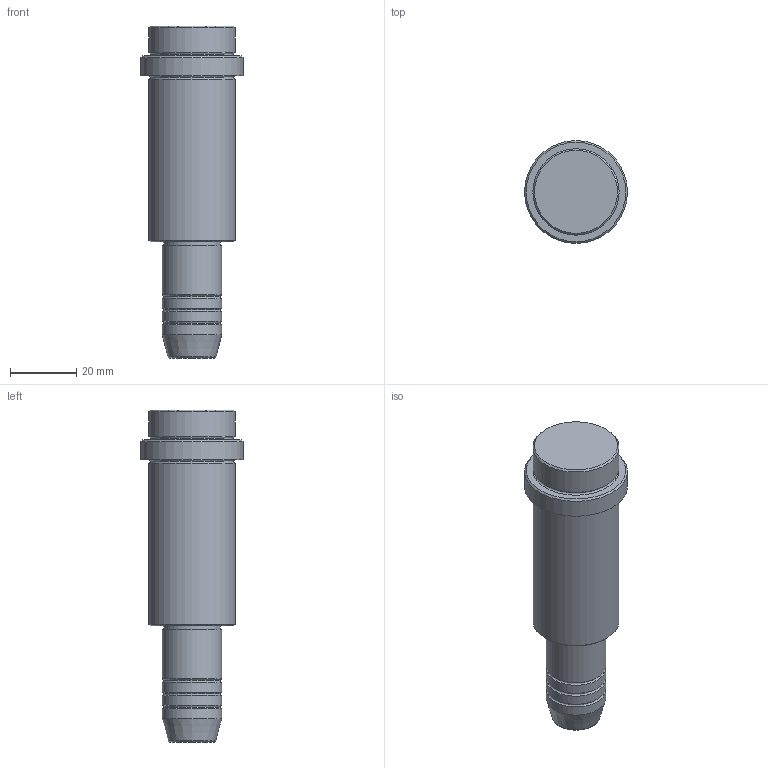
import cadquery as cq
import math


flange_radius = 15.5
body_radius = 13.0
pin_radius = 9.0

total_length = 100.0
head_length = 8.0
flange_thickness = 6.0
body_length = 50.0
taper_length = 7.0
taper_angle = 15.0

groove_radius = 0.5
groove_width = 2 * groove_radius
pin_groove_count = 3
pin_groove_pitch = 4.0
first_pin_groove_z = 10.5

relief_depth = 0.5
relief_width = 1.0

head_chamfer = 0.5
flange_chamfer = 0.5
body_chamfer = 0.5
tip_fillet = 0.5

head_bottom_z = total_length - head_length
flange_top_z = head_bottom_z - groove_width
flange_bottom_z = flange_top_z - flange_thickness
body_bottom_z = flange_bottom_z - body_length
relief_bottom_z = body_bottom_z - relief_width
tip_radius = pin_radius - taper_length * math.tan(math.radians(taper_angle))


def make_cylinder(radius, bottom_z, top_z):
    return cq.Workplane("XY").workplane(offset=bottom_z).circle(radius).extrude(top_z - bottom_z)


def make_pin():
    """Straight pin with a conical lead-in and a rounded tip edge."""
    lead_in = cq.Workplane("XY").circle(tip_radius).workplane(offset=taper_length).circle(pin_radius)
    lead_in = lead_in.loft(ruled=True).faces("<Z").fillet(tip_fillet)
    return lead_in.union(make_cylinder(pin_radius, taper_length, body_bottom_z))


def make_body():
    """Main shank, running up to the top of the head."""
    body = make_cylinder(body_radius, body_bottom_z, total_length)
    body = body.faces(">Z").chamfer(head_chamfer)
    return body.faces("<Z").chamfer(body_chamfer)


def make_flange():
    """Collar with a chamfered upper edge."""
    flange = make_cylinder(flange_radius, flange_bottom_z, flange_top_z)
    return flange.faces(">Z").chamfer(flange_chamfer)


def make_groove(surface_radius, middle_z):
    """Ring of round section that cuts a half-round groove into a cylinder."""
    section = cq.Workplane("XZ").center(-surface_radius, middle_z).circle(groove_radius)
    return section.revolve(360, (surface_radius, 0, 0), (surface_radius, 1, 0))


def make_relief():
    """Shallow square-edged band around the pin, just below the body."""
    outer = make_cylinder(body_radius, relief_bottom_z, body_bottom_z)
    return outer.cut(make_cylinder(pin_radius - relief_depth, relief_bottom_z, body_bottom_z))


shank = make_pin().union(make_body()).cut(make_relief())
shank = shank.cut(make_groove(body_radius, head_bottom_z - groove_radius))
shank = shank.cut(make_groove(body_radius, flange_bottom_z - groove_radius))
for index in range(pin_groove_count):
    shank = shank.cut(make_groove(pin_radius, first_pin_groove_z + index * pin_groove_pitch))

result = shank.union(make_flange())